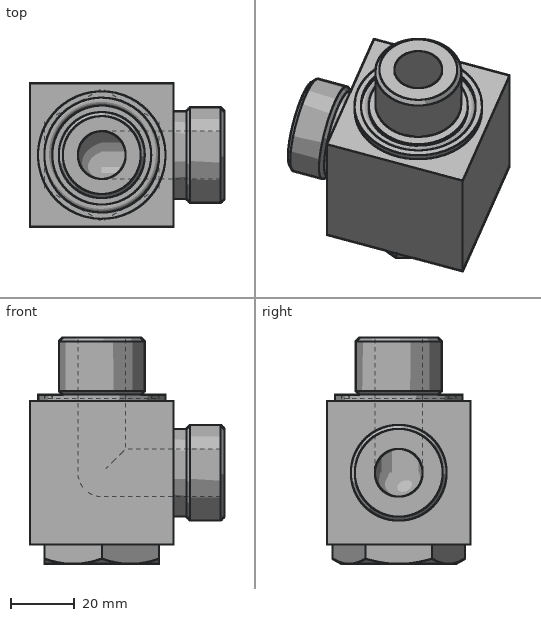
import cadquery as cq
import math

body_side = 45.0
body_half = body_side / 2
bore_radius = 15.0 / 2

flange_radius = 40.0 / 2
flange_height = 2.0
groove_outer_radius = 36.0 / 2
groove_inner_radius = 31.0 / 2

stud_radius = 27 / 2
stud_length = 17.95
stud_tip_chamfer = 1.3
stud_root_radius = 12.3
stud_root_height = 1.15

port_radius = 30.0 / 2
port_neck_radius = 27.55 / 2
port_length = 16.0
port_neck_length = 4.0
port_chamfer = port_radius - port_neck_radius

hex_across_flats = 36.0
hex_height = 6.0
hex_chamfer_angle = math.radians(30)

flange_top = body_half + flange_height
stud_top = flange_top + stud_length
port_end = body_half + port_length


def make_stud():
    """Revolve the stud, tapered at its root and chamfered at its tip."""
    profile = [
        (0, flange_top),
        (stud_root_radius, flange_top),
        (stud_radius, flange_top + stud_root_height),
        (stud_radius, stud_top - stud_tip_chamfer),
        (stud_radius - stud_tip_chamfer, stud_top),
        (0, stud_top),
    ]
    return cq.Workplane("XZ").polyline(profile).close().revolve(360, (0, 0), (0, 1))


def make_flange():
    """Round flange with an O-ring lying in its groove, level with the face."""
    cord_radius = (groove_outer_radius - groove_inner_radius) / 2
    cord_centre_radius = groove_inner_radius + cord_radius
    cord_centre_height = flange_top - cord_radius
    flange = cq.Workplane("XY").workplane(offset=body_half).circle(flange_radius).extrude(flange_height)
    groove = (
        cq.Workplane("XY").workplane(offset=cord_centre_height)
        .circle(groove_outer_radius).circle(groove_inner_radius).extrude(cord_radius)
    )
    ring = (
        cq.Workplane("XZ").center(cord_centre_radius, cord_centre_height)
        .circle(cord_radius).revolve(360, (-cord_centre_radius, 0), (-cord_centre_radius, 1))
    )
    return flange.cut(groove).union(ring)


def make_port():
    """Revolve the side port: plain neck, then a collar chamfered at both ends."""
    collar_start = body_half + port_neck_length
    profile = [
        (body_half, 0),
        (body_half, port_neck_radius),
        (collar_start, port_neck_radius),
        (collar_start + port_chamfer, port_radius),
        (port_end - port_chamfer, port_radius),
        (port_end, port_radius - port_chamfer),
        (port_end, 0),
    ]
    return cq.Workplane("XZ").polyline(profile).close().revolve(360, (0, 0), (1, 0))


def make_hex_head():
    """Hexagonal head whose corners are trimmed by a cone at the lower face."""
    inscribed_radius = hex_across_flats / 2
    corner_radius = inscribed_radius / math.cos(math.pi / 6)
    head_bottom = -body_half - hex_height
    chamfer_height = (corner_radius - inscribed_radius) * math.tan(hex_chamfer_angle)
    prism = (
        cq.Workplane("XY").workplane(offset=head_bottom)
        .transformed(rotate=(0, 0, 30)).polygon(6, 2 * corner_radius).extrude(hex_height)
    )
    envelope_profile = [
        (0, head_bottom),
        (inscribed_radius, head_bottom),
        (corner_radius, head_bottom + chamfer_height),
        (corner_radius, -body_half),
        (0, -body_half),
    ]
    envelope = cq.Workplane("XZ").polyline(envelope_profile).close().revolve(360, (0, 0), (0, 1))
    return prism.intersect(envelope)


def make_passage():
    """Elbow passage: two equal bores joined by a sphere at the bend."""
    vertical_bore = cq.Workplane("XY").circle(bore_radius).extrude(stud_top)
    side_bore = cq.Workplane("YZ").circle(bore_radius).extrude(port_end)
    bend = cq.Workplane("XY").sphere(bore_radius)
    return vertical_bore.union(side_bore).union(bend)


body = cq.Workplane("XY").box(body_side, body_side, body_side)
result = (
    body.union(make_flange())
    .union(make_stud())
    .union(make_port())
    .union(make_hex_head())
    .cut(make_passage())
)